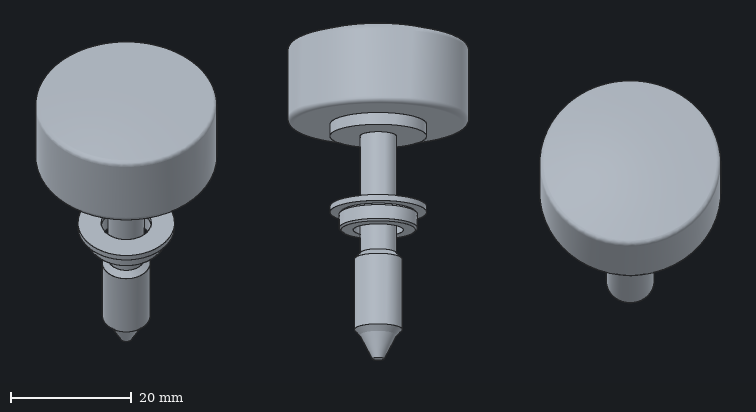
import cadquery as cq
import math

TOTAL_HEIGHT = 56.0
TIP_CONE_HEIGHT = 4.0
SHOULDER_BOTTOM = 5.0
SHOULDER_TOP = 17.0
NECK_BOTTOM = 18.05
RING_BOTTOM = 22.0
RING_HEIGHT = 3.0
WASHER_THICKNESS = 1.0
COLLAR_BOTTOM = 38.0
COLLAR_HEIGHT = 2.0

KNOB_RADIUS = 15.0
KNOB_FILLET = 1.0
DOME_RADIUS = 42.0
FLANGE_RADIUS = 8.0
SHAFT_RADIUS = 3.0
SHOULDER_RADIUS = 4.0
TIP_RADIUS = 1.0
RING_RADIUS = 6.5
RING_CHAMFER = 0.35
BORE_RADIUS = 4.15

KNOB_BOTTOM = COLLAR_BOTTOM + COLLAR_HEIGHT
WASHER_BOTTOM = RING_BOTTOM + RING_HEIGHT


def make_knob():
    """Drum with a spherical top, rounded along both rims."""
    dome_center = TOTAL_HEIGHT - DOME_RADIUS
    edge_height = dome_center + math.sqrt(DOME_RADIUS**2 - KNOB_RADIUS**2)
    half_angle = math.asin(KNOB_RADIUS / DOME_RADIUS) / 2
    arc_middle = (
        DOME_RADIUS * math.sin(half_angle),
        dome_center + DOME_RADIUS * math.cos(half_angle),
    )
    knob = (
        cq.Workplane("XZ")
        .moveTo(0, KNOB_BOTTOM)
        .lineTo(KNOB_RADIUS, KNOB_BOTTOM)
        .lineTo(KNOB_RADIUS, edge_height)
        .threePointArc(arc_middle, (0, TOTAL_HEIGHT))
        .close()
        .revolve()
    )
    return knob.edges(cq.selectors.RadiusNthSelector(0)).fillet(KNOB_FILLET)


def make_shank():
    """Collar, shaft, wider shoulder and conical tip, turned as one profile."""
    return (
        cq.Workplane("XZ")
        .moveTo(0, 0)
        .lineTo(TIP_RADIUS, 0)
        .lineTo(SHAFT_RADIUS, TIP_CONE_HEIGHT)
        .lineTo(SHOULDER_RADIUS, SHOULDER_BOTTOM)
        .lineTo(SHOULDER_RADIUS, SHOULDER_TOP)
        .lineTo(SHAFT_RADIUS, NECK_BOTTOM)
        .lineTo(SHAFT_RADIUS, COLLAR_BOTTOM)
        .lineTo(FLANGE_RADIUS, COLLAR_BOTTOM)
        .lineTo(FLANGE_RADIUS, KNOB_BOTTOM)
        .lineTo(0, KNOB_BOTTOM)
        .close()
        .revolve()
    )


def make_screw():
    """Knob and shank in one piece."""
    return make_knob().union(make_shank())


def make_sleeve(outer_radius, bottom, height):
    """Disc around the shaft with the common clearance bore."""
    return (
        cq.Workplane("XY")
        .workplane(offset=bottom)
        .circle(outer_radius)
        .circle(BORE_RADIUS)
        .extrude(height)
    )


def make_washer():
    """Thin plain washer resting on the ring."""
    return make_sleeve(FLANGE_RADIUS, WASHER_BOTTOM, WASHER_THICKNESS)


def make_ring():
    """Thicker ring with both outer edges chamfered."""
    ring = make_sleeve(RING_RADIUS, RING_BOTTOM, RING_HEIGHT)
    return ring.edges(cq.selectors.RadiusNthSelector(-1)).chamfer(RING_CHAMFER)


screw = make_screw()
washer = make_washer()
ring = make_ring()

result = cq.Compound.makeCompound([screw.val(), washer.val(), ring.val()])